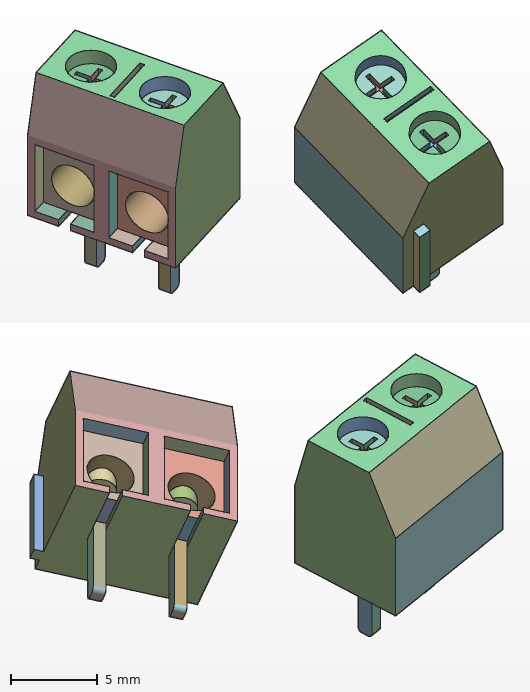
import cadquery as cq


housing_width = 9.86
housing_depth = 7.5
housing_height = 9.86
shoulder_height = 5.91
front_lean = 0.99
back_lean = 1.97

rib_thickness = 0.58
rib_width = 0.78
rib_setback = 0.78

pole_pitch = 4.92
pole_positions = [-pole_pitch / 2, pole_pitch / 2]

cage_width = 3.95
cage_height = 4.92
cage_floor = 0.49
cage_recess = 0.99
wire_hole_diameter = 2.85
wire_axis_height = 2.47
cage_top = cage_floor + cage_height

screw_y = 3.07
head_diameter = 2.95
head_height = 0.99
head_recess = 0.99
shank_diameter = 1.97
shank_tip_height = 2.95
cross_width = 0.28
cross_length_x = 2.16
cross_length_y = 2.01
cross_depth = 0.49
cross_offset = 0.09
head_top = housing_height - head_recess
head_bottom = head_top - head_height
cage_back = 2 * screw_y - cage_recess

pin_width = 0.78
pin_depth = 1.03
pin_y = 3.55
pin_length = 4.92
pin_tip_radius = 0.3
pin_back = pin_y + pin_depth / 2

groove_width = 0.3
groove_length = 3.47
groove_depth = 0.49
groove_y = 2.99


def block(size_x, y_range, z_range, center_x=0.0):
    """Box centred on center_x that spans the given Y and Z ranges."""
    y_min, y_max = y_range
    z_min, z_max = z_range
    return (
        cq.Workplane("XY")
        .box(size_x, y_max - y_min, z_max - z_min, centered=(True, False, False))
        .translate((center_x, y_min, z_min))
    )


def upright_cylinder(diameter, x, y, z_min, z_max):
    """Vertical cylinder from z_min to z_max."""
    return cq.Workplane("XY", origin=(x, y, z_min)).circle(diameter / 2).extrude(z_max - z_min)


def screw_blank(x, top):
    """Head and shank without the cross; top sets how high the head cylinder reaches."""
    head = upright_cylinder(head_diameter, x, screw_y, head_bottom, top)
    shank = upright_cylinder(shank_diameter, x, screw_y, shank_tip_height, head_bottom)
    return head.union(shank)


def make_cage_space(x):
    """Cavity, open at the wire-entry face, whose rear part is filled by the cage."""
    return block(cage_width, (0, cage_back), (cage_floor, cage_top), x)


def make_pin_slot(x):
    """Slot through the housing floor, from the wire-entry face to the back of the pin."""
    return block(pin_width, (0, pin_back), (0, cage_floor), x)


def make_housing():
    profile = [
        (0, 0),
        (housing_depth, 0),
        (housing_depth, shoulder_height),
        (housing_depth - back_lean, housing_height),
        (front_lean, housing_height),
        (0, shoulder_height),
    ]
    body = cq.Workplane("YZ").polyline(profile).close().extrude(housing_width / 2, both=True)

    rib_back = housing_depth - rib_setback
    rib_x = -(housing_width + rib_thickness) / 2
    body = body.union(
        block(rib_thickness, (rib_back - rib_width, rib_back), (0, shoulder_height), rib_x)
    )

    groove_span = (groove_y - groove_length / 2, groove_y + groove_length / 2)
    body = body.cut(block(groove_width, groove_span, (housing_height - groove_depth, housing_height)))

    for x in pole_positions:
        body = body.cut(make_cage_space(x))
        body = body.cut(make_pin_slot(x))
        body = body.cut(screw_blank(x, housing_height))
    return body


def make_cage(x):
    """Clamping cage with a through wire hole and a hole for the screw shank in its top."""
    cage = block(cage_width, (cage_recess, cage_back), (cage_floor, cage_top), x)
    wire_hole = (
        cq.Workplane("XZ", origin=(x, 0, wire_axis_height))
        .circle(wire_hole_diameter / 2)
        .extrude(-cage_back)
    )
    return cage.cut(wire_hole).cut(screw_blank(x, head_top))


def make_screw(x):
    """Cross-slotted screw whose flat tip stands in the wire hole."""
    cross_y = screw_y + cross_offset
    cross_heights = (head_top - cross_depth, head_top)
    arm_x = block(cross_length_x, (cross_y - cross_width / 2, cross_y + cross_width / 2), cross_heights, x)
    arm_y = block(cross_width, (cross_y - cross_length_y / 2, cross_y + cross_length_y / 2), cross_heights, x)
    return screw_blank(x, head_top).cut(arm_x).cut(arm_y)


def make_pin(x):
    """Solder pin that runs down from the underside of the cage."""
    pin = block(pin_width, (pin_y - pin_depth / 2, pin_back), (-pin_length, cage_floor), x)
    return pin.faces("<Z").edges("|X").fillet(pin_tip_radius)


housing = make_housing()
cages = [make_cage(x) for x in pole_positions]
screws = [make_screw(x) for x in pole_positions]
pins = [make_pin(x) for x in pole_positions]

result = cq.Compound.makeCompound([body.val() for body in [housing, *cages, *screws, *pins]])